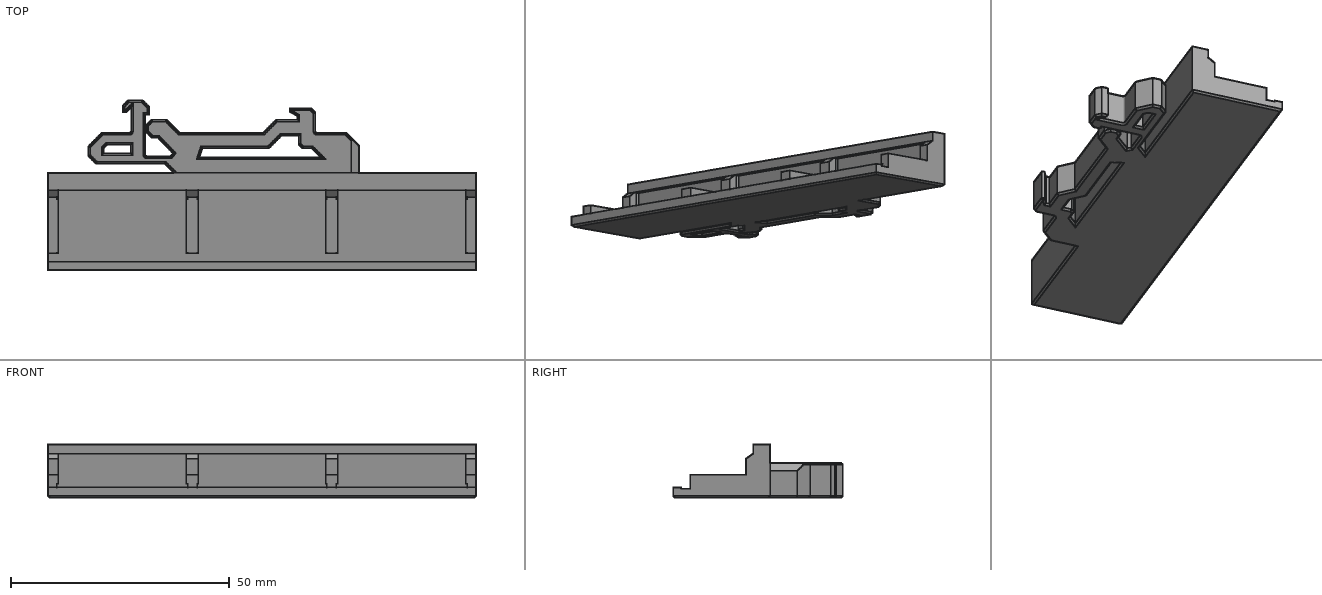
import cadquery as cq

LENGTH = 97.85
TRAY_DEPTH = 22.2
HEIGHT = 12.2
FLOOR_TOP = 2.1
LIP_DEPTH = 1.85
LIP_TOP = 2.4
BOTTOM_CHAMFER = 0.45

RAIL_FRONT = 18.3
RAIL_UNDERSIDE = 10.1
WALL_FRONT = 19.8

DIVIDER_WIDTH = 2.8
END_DIVIDER_WIDTH = 2.3
DIVIDER_PITCH = 31.85
PAD_THICKNESS = 0.3
RIB_FRONT = 3.9
RIB_TOP = 5.3
RIB_PAD_BOTTOM = 3.2
RIB_PAD_BACK = 16.3
POST_FRONT = 16.65
POST_SHOULDER = 8.95
POST_PAD_BACK = 18.8

CLIP_HEIGHT = 8.0
CLIP_CHAMFER = 0.45
CLIP_OVERLAP = 1.0
CLIP_RIGHT = 71.1
RIGHT_END_CHAMFER = 1.8
RIGHT_CORNER_CUT = 2.9
CORNER_RADIUS = 0.5

BEAM_TOP_Y = 31.35
BEAM_UNDERSIDE_Y = 27.85
BEAM_WINDOW_FLOOR_Y = 25.75
SHOULDER_TOP_Y = 34.4
SHOULDER_UNDERSIDE_Y = 30.75
SHOULDER_RISE = SHOULDER_TOP_Y - BEAM_TOP_Y
LEFT_SLOPE_END = 30.15
RIGHT_SLOPE_START = 49.15

NOSE_LEFT = 22.5
NOSE_BOTTOM_Y = 30.3
NOSE_CUT = 1.2
NOSE_NECK_X = 25.1

ARM_LEFT = 9.2
ARM_BOTTOM_Y = 24.3
ARM_LOWER_CUT = 1.8
ARM_UPPER_CUT = 3.1
ARM_ROOT_X = 26.7
ARM_WINDOW_LEFT = 12.75
ARM_WINDOW_RIGHT = 18.9
ARM_WINDOW_BOTTOM_Y = 26.75
ARM_WINDOW_TOP_Y = 28.65
ARM_WINDOW_CUT = 0.75
GAP_FLOOR_Y = 26.0
GAP_FLOOR_END = 28.0
GAP_CORNER = (28.6, 26.7)

STEM_LEFT = 19.0
STEM_RIGHT = 22.2
CLIP_TOP_Y = 38.85
HOOK_TIP_X = 17.1
HOOK_TIP_WIDTH = 0.75
HOOK_TIP_Y = 36.05
HOOK_OUTER_CUT = 1.25
HOOK_INNER_SLOPE = STEM_LEFT - HOOK_TIP_X - HOOK_TIP_WIDTH
HEAD_RIGHT = 23.1
HEAD_BOTTOM_Y = 35.5
HEAD_CUT = 1.5

FIXED_STEM_LEFT = 57.0
FIXED_STEM_RIGHT = 61.1
FIXED_HOOK_TOP_Y = 36.95
FIXED_HOOK_TIP_X = 55.25
FIXED_HOOK_TIP_HEIGHT = 0.72
FIXED_HOOK_ROOT_Y = 35.2
FIXED_HOOK_CUT = 0.9

POCKET_RIGHT = 57.3
POCKET_CUT = 0.85
POCKET_STEP_END = 60.3
WINDOW_FLOOR_LEFT = 34.6
WINDOW_TOP_LEFT = 35.3
WINDOW_SLOPE_START = 50.5


def extrude_along_x(points, start, length):
    """Extrude a (Y, Z) outline along X from the given start."""
    return cq.Workplane("YZ").polyline(points).close().extrude(length).translate((start, 0, 0))


def make_tray():
    outline = [
        (0, 0),
        (TRAY_DEPTH, 0),
        (TRAY_DEPTH, HEIGHT),
        (RAIL_FRONT, HEIGHT),
        (RAIL_FRONT, RAIL_UNDERSIDE),
        (WALL_FRONT, RAIL_UNDERSIDE),
        (WALL_FRONT, FLOOR_TOP),
        (LIP_DEPTH, FLOOR_TOP),
        (LIP_DEPTH, LIP_TOP),
        (0, LIP_TOP),
    ]
    return extrude_along_x(outline, 0, LENGTH).faces("<Z").edges().chamfer(BOTTOM_CHAMFER)


def make_divider(start, end, pad_left, pad_right):
    """Build one divider: a thin core, sunk into the floor and wall, with raised side pads."""
    core_start = start + pad_left
    core_width = end - pad_right - core_start
    width = end - start
    core_bottom = FLOOR_TOP / 2
    core_back = (WALL_FRONT + TRAY_DEPTH) / 2
    core = [
        (RIB_FRONT, core_bottom),
        (core_back, core_bottom),
        (core_back, RAIL_UNDERSIDE),
        (RAIL_FRONT, RAIL_UNDERSIDE),
        (POST_FRONT, POST_SHOULDER),
        (POST_FRONT, RIB_TOP),
        (RIB_FRONT, RIB_TOP),
    ]
    post_pad = [
        (POST_FRONT, RIB_TOP),
        (POST_PAD_BACK, RIB_TOP),
        (POST_PAD_BACK, RAIL_UNDERSIDE),
        (RAIL_FRONT, RAIL_UNDERSIDE),
        (POST_FRONT, POST_SHOULDER),
    ]
    rib_pad = [
        (RIB_FRONT, RIB_PAD_BOTTOM),
        (RIB_PAD_BACK, RIB_PAD_BOTTOM),
        (RIB_PAD_BACK, RIB_TOP),
        (RIB_FRONT, RIB_TOP),
    ]
    divider = extrude_along_x(core, core_start, core_width)
    divider = divider.union(extrude_along_x(post_pad, start, width))
    return divider.union(extrude_along_x(rib_pad, start, width))


def make_dividers():
    left = make_divider(0, END_DIVIDER_WIDTH, 0, PAD_THICKNESS)
    right = make_divider(LENGTH - END_DIVIDER_WIDTH, LENGTH, PAD_THICKNESS, 0)
    dividers = [left, right]
    for side in (-1, 1):
        start = LENGTH / 2 + side * DIVIDER_PITCH / 2 - DIVIDER_WIDTH / 2
        dividers.append(make_divider(start, start + DIVIDER_WIDTH, PAD_THICKNESS, PAD_THICKNESS))
    return dividers


def clip_outline():
    """Return the clip outline in XY, clockwise from the root of the release arm."""
    base_y = TRAY_DEPTH - CLIP_OVERLAP
    release_arm = [
        (ARM_ROOT_X + ARM_BOTTOM_Y - base_y, base_y),
        (ARM_ROOT_X, ARM_BOTTOM_Y),
        (ARM_LEFT + ARM_LOWER_CUT, ARM_BOTTOM_Y),
        (ARM_LEFT, ARM_BOTTOM_Y + ARM_LOWER_CUT),
        (ARM_LEFT, BEAM_TOP_Y - ARM_UPPER_CUT),
        (ARM_LEFT + ARM_UPPER_CUT, BEAM_TOP_Y),
        (STEM_LEFT, BEAM_TOP_Y),
    ]
    movable_hook = [
        (STEM_LEFT, HOOK_TIP_Y + HOOK_INNER_SLOPE),
        (HOOK_TIP_X + HOOK_TIP_WIDTH, HOOK_TIP_Y),
        (HOOK_TIP_X, HOOK_TIP_Y),
        (HOOK_TIP_X, CLIP_TOP_Y - HOOK_OUTER_CUT),
        (HOOK_TIP_X + HOOK_OUTER_CUT, CLIP_TOP_Y),
        (HEAD_RIGHT - HEAD_CUT, CLIP_TOP_Y),
        (HEAD_RIGHT, CLIP_TOP_Y - HEAD_CUT),
        (HEAD_RIGHT, HEAD_BOTTOM_Y),
        (STEM_RIGHT, HEAD_BOTTOM_Y),
    ]
    gap_and_nose = [
        (STEM_RIGHT, GAP_FLOOR_Y),
        (GAP_FLOOR_END, GAP_FLOOR_Y),
        GAP_CORNER,
        (NOSE_NECK_X, NOSE_BOTTOM_Y),
        (NOSE_LEFT + NOSE_CUT, NOSE_BOTTOM_Y),
        (NOSE_LEFT, NOSE_BOTTOM_Y + NOSE_CUT),
        (NOSE_LEFT, SHOULDER_TOP_Y - NOSE_CUT),
        (NOSE_LEFT + NOSE_CUT, SHOULDER_TOP_Y),
    ]
    beam = [
        (LEFT_SLOPE_END - SHOULDER_RISE, SHOULDER_TOP_Y),
        (LEFT_SLOPE_END, BEAM_TOP_Y),
        (RIGHT_SLOPE_START, BEAM_TOP_Y),
        (RIGHT_SLOPE_START + SHOULDER_RISE, SHOULDER_TOP_Y),
    ]
    fixed_hook = [
        (FIXED_STEM_LEFT, SHOULDER_TOP_Y),
        (FIXED_STEM_LEFT, FIXED_HOOK_ROOT_Y),
        (FIXED_HOOK_TIP_X, FIXED_HOOK_TOP_Y - FIXED_HOOK_TIP_HEIGHT),
        (FIXED_HOOK_TIP_X, FIXED_HOOK_TOP_Y),
        (FIXED_STEM_RIGHT - FIXED_HOOK_CUT, FIXED_HOOK_TOP_Y),
        (FIXED_STEM_RIGHT, FIXED_HOOK_TOP_Y - FIXED_HOOK_CUT),
    ]
    right_end = [
        (FIXED_STEM_RIGHT, BEAM_TOP_Y),
        (CLIP_RIGHT - RIGHT_CORNER_CUT, BEAM_TOP_Y),
        (CLIP_RIGHT, BEAM_TOP_Y - RIGHT_CORNER_CUT),
        (CLIP_RIGHT, base_y),
    ]
    return release_arm + movable_hook + gap_and_nose + beam + fixed_hook + right_end


def arm_window_outline():
    return [
        (ARM_WINDOW_LEFT, ARM_WINDOW_BOTTOM_Y),
        (ARM_WINDOW_RIGHT, ARM_WINDOW_BOTTOM_Y),
        (ARM_WINDOW_RIGHT, ARM_WINDOW_TOP_Y),
        (ARM_WINDOW_LEFT + ARM_WINDOW_CUT, ARM_WINDOW_TOP_Y),
        (ARM_WINDOW_LEFT, ARM_WINDOW_TOP_Y - ARM_WINDOW_CUT),
    ]


def beam_window_outline():
    window_rise = SHOULDER_UNDERSIDE_Y - BEAM_UNDERSIDE_Y
    right_slope = BEAM_UNDERSIDE_Y - BEAM_WINDOW_FLOOR_Y
    return [
        (WINDOW_FLOOR_LEFT, BEAM_WINDOW_FLOOR_Y),
        (WINDOW_TOP_LEFT, BEAM_UNDERSIDE_Y),
        (WINDOW_SLOPE_START, BEAM_UNDERSIDE_Y),
        (WINDOW_SLOPE_START + window_rise, SHOULDER_UNDERSIDE_Y),
        (POCKET_RIGHT, SHOULDER_UNDERSIDE_Y),
        (POCKET_RIGHT, BEAM_UNDERSIDE_Y + POCKET_CUT),
        (POCKET_RIGHT + POCKET_CUT, BEAM_UNDERSIDE_Y),
        (POCKET_STEP_END, BEAM_UNDERSIDE_Y),
        (POCKET_STEP_END + right_slope, BEAM_WINDOW_FLOOR_Y),
    ]


def round_inner_corners(clip):
    """Round the concave corners where the hook stems meet the arm and the beam."""
    corners = [
        (STEM_LEFT, BEAM_TOP_Y),
        (STEM_RIGHT, GAP_FLOOR_Y),
        (FIXED_STEM_RIGHT, BEAM_TOP_Y),
    ]
    for x, y in corners:
        nearest = cq.selectors.NearestToPointSelector((x, y, CLIP_HEIGHT / 2))
        clip = clip.edges("|Z").edges(nearest).fillet(CORNER_RADIUS)
    return clip


def make_right_end_wedge():
    """Build the wedge that bevels the upper right end of the clip."""
    corner = [
        (CLIP_RIGHT, CLIP_HEIGHT),
        (CLIP_RIGHT - RIGHT_END_CHAMFER, CLIP_HEIGHT),
        (CLIP_RIGHT, CLIP_HEIGHT - RIGHT_END_CHAMFER),
    ]
    return cq.Workplane("XZ").polyline(corner).close().extrude(-CLIP_TOP_Y)


def make_clip():
    clip = cq.Workplane("XY").polyline(clip_outline()).close()
    clip = clip.polyline(arm_window_outline()).close()
    clip = clip.polyline(beam_window_outline()).close()
    clip = round_inner_corners(clip.extrude(CLIP_HEIGHT))
    clip = clip.faces("<Z or >Z").edges().chamfer(CLIP_CHAMFER)
    return clip.cut(make_right_end_wedge())


result = make_tray()
for divider in make_dividers():
    result = result.union(divider)
result = result.union(make_clip())